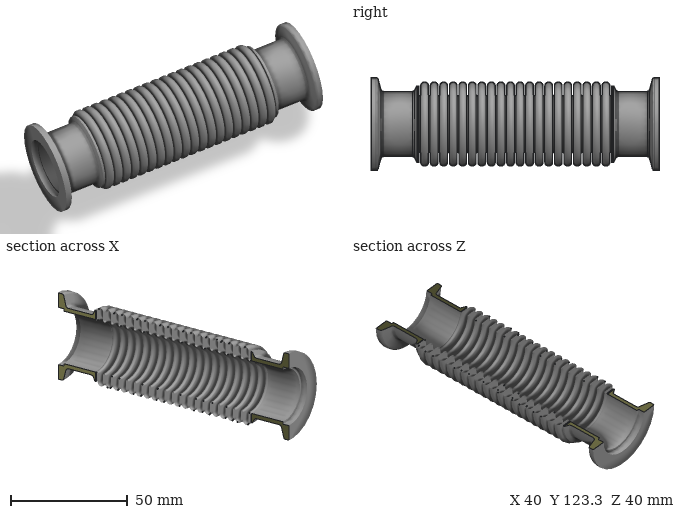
import cadquery as cq
import math


total_length = 123.3
end_length = 20.0

flange_radius = 20.0
rim_thickness = 2.77
clamp_angle = math.radians(15)
recess_radius = 13.1
recess_depth = 3.0
pipe_radius = 14.0
bore_radius = 12.0
blend_radius = 1.0

lip_radius = 16.5
lip_thickness = 0.5
flare_angle = math.radians(26)

rib_count = 20
crest_radius = 18.15
root_radius = 12.2
wall = 0.43
rib_gap = 0.72

bellows_length = total_length - 2 * end_length
pitch = (bellows_length - 2 * wall - rib_gap) / rib_count
rib_width = pitch - rib_gap
crest_center = crest_radius - rib_width / 2
root_center = root_radius + rib_gap / 2


def circles_at(body, radius, position):
    """Circular edges of the given radius about Y at the given Y position."""
    tolerance = 0.001
    return body.edges("%CIRCLE").filter(
        lambda e: abs(e.radius() - radius) < tolerance and abs(e.Center().y - position) < tolerance
    )


def make_flange_end():
    """Flange, pipe and weld lip, with the sealing face at Y = 0."""
    cone_length = (flange_radius - pipe_radius) * math.tan(clamp_angle)
    lip_start = end_length - lip_thickness
    flare_start = lip_start - (lip_radius - pipe_radius) * math.tan(flare_angle)
    cone_end = rim_thickness + cone_length
    profile = (
        cq.Workplane("XY")
        .moveTo(recess_radius, 0)
        .lineTo(flange_radius, 0)
        .lineTo(flange_radius, rim_thickness)
        .lineTo(pipe_radius, cone_end)
        .lineTo(pipe_radius, flare_start)
        .lineTo(lip_radius, lip_start)
        .lineTo(lip_radius, end_length)
        .lineTo(bore_radius, end_length)
        .lineTo(bore_radius, recess_depth)
        .lineTo(recess_radius, recess_depth)
        .close()
    )
    body = profile.revolve(360, (0, 0, 0), (0, 1, 0))
    body = circles_at(body, flange_radius, rim_thickness).fillet(blend_radius)
    body = circles_at(body, pipe_radius, cone_end).fillet(blend_radius)
    body = circles_at(body, pipe_radius, flare_start).fillet(blend_radius)
    return body


def make_bellows():
    """Corrugated sheet closed at each end by a flat rim against the weld lip."""
    start = end_length
    end = total_length - end_length
    first_root = start + wall

    profile = (
        cq.Workplane("XY")
        .moveTo(lip_radius, start)
        .lineTo(lip_radius, first_root)
        .lineTo(root_center, first_root)
    )
    for i in range(rib_count):
        root = first_root + i * pitch
        rib = root + rib_gap
        profile = (
            profile
            .threePointArc((root_radius, root + rib_gap / 2), (root_center, rib))
            .lineTo(crest_center, rib)
            .threePointArc((crest_radius, rib + rib_width / 2), (crest_center, rib + rib_width))
            .lineTo(root_center, rib + rib_width)
        )
    last_root = first_root + rib_count * pitch
    profile = (
        profile
        .threePointArc((root_radius, last_root + rib_gap / 2), (root_center, end - wall))
        .lineTo(lip_radius, end - wall)
        .lineTo(lip_radius, end)
        .lineTo(root_center, end)
    )

    for i in reversed(range(rib_count)):
        rib = first_root + i * pitch + rib_gap
        next_root = rib + rib_width
        inner_rib = rib + wall
        inner_rib_end = next_root - wall
        profile = (
            profile
            .threePointArc((root_radius - wall, next_root + rib_gap / 2), (root_center, inner_rib_end))
            .lineTo(crest_center, inner_rib_end)
            .threePointArc((crest_radius - wall, rib + rib_width / 2), (crest_center, inner_rib))
            .lineTo(root_center, inner_rib)
        )
    profile = (
        profile
        .threePointArc((root_radius - wall, first_root + rib_gap / 2), (root_center, start))
        .close()
    )
    return profile.revolve(360, (0, 0, 0), (0, 1, 0))


near_end = make_flange_end()
far_end = near_end.mirror("XZ").translate((0, total_length, 0))
bellows = make_bellows()
result = cq.Compound.makeCompound([near_end.val(), bellows.val(), far_end.val()])